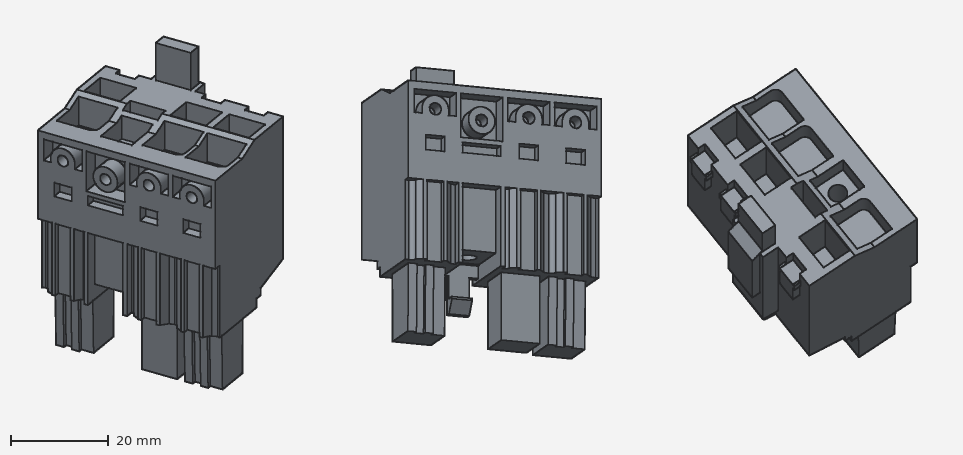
import cadquery as cq
import math


WIDTH = 42.1
BACK_Y = 27.3
TOP_Z = 53.8
FRONT_TOP_Z = 51.7
TOP_SLOPE_FRONT_Y = 10.8
TOP_SLOPE_BACK_Y = 15.75
BOTTOM_Z = 14.3
UNDERSIDE_BACK_Z = 20.6
UNDERSIDE_FRONT_Z = 18.05
UNDERSIDE_FRONT_Y = 18.25
STEP_Z = 16.35
STEP_Y = 16.6

PITCH = 10.2
POLE_X = [index * PITCH for index in (0, 2, 3)]

LATCH_X = 11.85
LATCH_WIDTH = 8.3
LATCH_CENTER_X = LATCH_X + LATCH_WIDTH / 2

WIRE_X, WIRE_Y = 1.25, 5.45
WIRE_WIDTH, WIRE_LENGTH = 9.25, 8.9
WIRE_CORNER_RADIUS = 1.7
WIRE_FLOOR_Z = 46.5
TOOL_X, TOOL_Y = 1.6, 15.9
TOOL_WIDTH, TOOL_LENGTH = 8.5, 6.55
TOOL_FLOOR_Z = 41.2
SLOT_Y, SLOT_LENGTH = 14.05, 3.1
SCREW_POCKET_WIDTH = 7.4
SCREW_POCKET_Y, SCREW_POCKET_LENGTH = 4.4, 8.45
SCREW_FLOOR_Z = 47.1
SCREW_HOLE_Y = 8.4
SCREW_HOLE_DIAMETER = 3.9

FRONT_POCKET_WIDTH = 9.1
FRONT_POCKET_DEPTH = 3.75
FRONT_POCKET_TOP_Z = 50.0
POLE_POCKET_X = 1.4
POLE_POCKET_BOTTOM_Z = 45.1
POLE_BOSS_Z = 46.2
CENTER_POCKET_BOTTOM_Z = 40.7
CENTER_BOSS_Z = 44.7
BOSS_RADIUS = 2.9
BOSS_HOLE_DIAMETER = 2.5
WINDOW_X, WINDOW_WIDTH = 3.9, 4.1
WINDOW_BOTTOM_Z, WINDOW_HEIGHT = 37.4, 3.2
CENTER_WINDOW_BOTTOM_Z, CENTER_WINDOW_HEIGHT = 37.55, 2.2
WINDOW_DEPTH = 2.25

GROOVE_TOP_Z = 31.1
GROOVE_X = 0.8
GROOVE_DEPTH = 1.95
GROOVE_ARC_RADIUS = 1.1
GROOVE_LIP = 0.2
EDGE_DEPTH = 1.6
LEADING_WIDTH = 2.5
FLAT_GROOVE_X, FLAT_GROOVE_WIDTH = 3.3, 3.6
FLAT_GROOVE_DEPTH = 1.3
TRAILING_X = 7.75
TRAILING_BEND_X = 9.0
TRAILING_BEND_DEPTH = 1.55
RECESS_DEPTH = 2.9
RECESS_BOTTOM_Z = 17.8

GUIDE_WIDTH = 10.4
GUIDE_BACK_Y = 31.1
GUIDE_BOTTOM_BACK_Z = 24.25
GUIDE_BOTTOM_FRONT_Z = 23.6
LUG_X, LUG_WIDTH = 2.9, 5.55
LUG_BACK_Y = 29.0
LUG_BOTTOM_Z, LUG_STEP_Z, LUG_TOP_Z = 43.65, 48.95, 50.85
NOTCH_WIDTH = 4.55
NOTCH_FLOOR_Z = 50.65
NOTCH_INSET = (LUG_WIDTH - NOTCH_WIDTH) / 2
NOTCH_FRONT_Y = 25.6

PRONG_X, PRONG_WIDTH = 1.6, 8.4
PRONG_FRONT_Y, PRONG_FRONT_TIP_Y = 4.2, 4.55
PRONG_BACK_Y, PRONG_BACK_TIP_Y = 13.75, 13.55
PLAIN_PRONG_BACK_Y = 12.35
PRONG_KEY_WIDTH = 1.9
PRONG_RIB_END = 5.5
PRONG_GROOVE_DEPTH = 0.95
PLAIN_PRONG = 1

LATCH_TOP_Z = 62.45
HANDLE_BACK_Y = 30.5
PAD_BACK_Y = 33.05
PAD_BOTTOM_Z = 35.1
PAD_TOP_Z = 52.45
PAD_SLOPE_TOP_Z = 54.35
STRAP_BACK_Y = 30.05
FOOT_BACK_Z = 20.8
FOOT_BOTTOM_Z = 17.6
FOOT_THICKNESS = 1.9
FOOT_FRONT_Y = 12.6
PLATE_FRONT_Y = 13.25
PLATE_BACK_Y = 14.5
PLATE_BOTTOM_Z = 15.0
ARM_WIDTH = 4.45
ARM_BOTTOM_Z = 6.95
HOOK_TOP_Z = 10.2
HOOK_BEVEL_Z = 9.75
HOOK_REACH = 1.75


def box(x, y, z, width, length, height):
    """Box given by its lowest corner and its sizes along X, Y and Z."""
    return cq.Workplane("XY").box(width, length, height, centered=False).translate((x, y, z))


def side_profile(points, x, width):
    """Solid with an outline of (Y, Z) points, running along X from x."""
    return cq.Workplane("YZ").polyline(points).close().extrude(width).translate((x, 0, 0))


def front_cylinder(x, z, radius, depth):
    """Cylinder that runs from the front face into the housing."""
    return cq.Workplane("XZ").center(x, z).circle(radius).extrude(-depth)


def down_to(floor_z, x, y, width, length):
    """Pocket cutter, open above the housing."""
    return box(x, y, floor_z, width, length, TOP_Z - floor_z)


def housing_block():
    profile = [
        (0, BOTTOM_Z), (0, FRONT_TOP_Z),
        (TOP_SLOPE_FRONT_Y, FRONT_TOP_Z), (TOP_SLOPE_BACK_Y, TOP_Z),
        (BACK_Y, TOP_Z), (BACK_Y, UNDERSIDE_BACK_Z),
        (UNDERSIDE_FRONT_Y, UNDERSIDE_FRONT_Z), (UNDERSIDE_FRONT_Y, STEP_Z),
        (STEP_Y, STEP_Z), (STEP_Y, BOTTOM_Z),
    ]
    return side_profile(profile, 0, WIDTH)


def latch_guide():
    profile = [
        (BACK_Y, TOP_Z), (GUIDE_BACK_Y, TOP_Z),
        (GUIDE_BACK_Y, GUIDE_BOTTOM_BACK_Z), (BACK_Y, GUIDE_BOTTOM_FRONT_Z),
    ]
    return side_profile(profile, LATCH_CENTER_X - GUIDE_WIDTH / 2, GUIDE_WIDTH)


def back_lug(pole_x):
    """Lug on the back face, with a wide head above a narrower stem."""
    length = LUG_BACK_Y - BACK_Y
    x = pole_x + LUG_X
    head = box(x, BACK_Y, LUG_STEP_Z, LUG_WIDTH, length, LUG_TOP_Z - LUG_STEP_Z)
    stem = box(x + NOTCH_INSET, BACK_Y, LUG_BOTTOM_Z,
               NOTCH_WIDTH, length, LUG_STEP_Z - LUG_BOTTOM_Z)
    return head.union(stem)


def back_notch(pole_x):
    """Notch through the back edge that also sinks the middle of the lug's head."""
    x = pole_x + LUG_X + NOTCH_INSET
    return down_to(NOTCH_FLOOR_Z, x, NOTCH_FRONT_Y, NOTCH_WIDTH, LUG_BACK_Y - NOTCH_FRONT_Y)


def wire_pocket(pole_x):
    pocket = down_to(WIRE_FLOOR_Z, pole_x + WIRE_X, WIRE_Y, WIRE_WIDTH, WIRE_LENGTH)
    return pocket.edges("|Z and >X and <Y").fillet(WIRE_CORNER_RADIUS)


def tool_pocket(pole_x):
    return down_to(TOOL_FLOOR_Z, pole_x + TOOL_X, TOOL_Y, TOOL_WIDTH, TOOL_LENGTH)


def pole_front_pocket(pole_x):
    """Front pocket around an arched boss, with the hole in the boss."""
    x = pole_x + POLE_POCKET_X
    center_x = x + FRONT_POCKET_WIDTH / 2
    pocket = box(x, 0, POLE_POCKET_BOTTOM_Z, FRONT_POCKET_WIDTH, FRONT_POCKET_DEPTH,
                 FRONT_POCKET_TOP_Z - POLE_POCKET_BOTTOM_Z)
    boss = front_cylinder(center_x, POLE_BOSS_Z, BOSS_RADIUS, FRONT_POCKET_DEPTH)
    boss_base = box(center_x - BOSS_RADIUS, 0, POLE_POCKET_BOTTOM_Z, 2 * BOSS_RADIUS,
                    FRONT_POCKET_DEPTH, POLE_BOSS_Z - POLE_POCKET_BOTTOM_Z)
    hole = front_cylinder(center_x, POLE_BOSS_Z, BOSS_HOLE_DIAMETER / 2, FRONT_POCKET_DEPTH)
    return pocket.cut(boss).cut(boss_base).union(hole)


def center_front_pocket():
    """Square front pocket around a round boss, with the hole in the boss."""
    pocket = box(LATCH_CENTER_X - FRONT_POCKET_WIDTH / 2, 0, CENTER_POCKET_BOTTOM_Z,
                 FRONT_POCKET_WIDTH, FRONT_POCKET_DEPTH,
                 FRONT_POCKET_TOP_Z - CENTER_POCKET_BOTTOM_Z)
    boss = front_cylinder(LATCH_CENTER_X, CENTER_BOSS_Z, BOSS_RADIUS, FRONT_POCKET_DEPTH)
    hole = front_cylinder(LATCH_CENTER_X, CENTER_BOSS_Z, BOSS_HOLE_DIAMETER / 2, FRONT_POCKET_DEPTH)
    return pocket.cut(boss).union(hole)


def pole_window(pole_x):
    return box(pole_x + WINDOW_X, 0, WINDOW_BOTTOM_Z, WINDOW_WIDTH, WINDOW_DEPTH, WINDOW_HEIGHT)


def center_openings():
    """Slot, screw pocket, through hole and window on the latch's centre line."""
    slot = down_to(TOOL_FLOOR_Z, LATCH_X, SLOT_Y, LATCH_WIDTH, SLOT_LENGTH)
    screw_pocket = down_to(SCREW_FLOOR_Z, LATCH_CENTER_X - SCREW_POCKET_WIDTH / 2, SCREW_POCKET_Y,
                           SCREW_POCKET_WIDTH, SCREW_POCKET_LENGTH)
    screw_hole = (cq.Workplane("XY").center(LATCH_CENTER_X, SCREW_HOLE_Y)
                  .circle(SCREW_HOLE_DIAMETER / 2).extrude(TOP_Z))
    window = box(LATCH_X, 0, CENTER_WINDOW_BOTTOM_Z,
                 LATCH_WIDTH, WINDOW_DEPTH, CENTER_WINDOW_HEIGHT)
    return slot.union(screw_pocket).union(screw_hole).union(window)


def pole_grooves(pole_x):
    """Rounded leading groove, flat groove and slanted trailing groove of one pole."""
    arc_side_y = GROOVE_DEPTH - GROOVE_ARC_RADIUS
    arc_offset = GROOVE_ARC_RADIUS * math.sqrt(0.5)
    arc_middle = (arc_offset, arc_side_y + arc_offset)
    height = GROOVE_TOP_Z - BOTTOM_Z
    plane = cq.Workplane("XY")
    leading = (plane.moveTo(0, 0).lineTo(0, GROOVE_DEPTH)
               .threePointArc(arc_middle, (GROOVE_ARC_RADIUS, arc_side_y))
               .lineTo(LEADING_WIDTH, GROOVE_LIP).lineTo(LEADING_WIDTH, 0)
               .close().extrude(height))
    flat = box(FLAT_GROOVE_X, 0, 0, FLAT_GROOVE_WIDTH, FLAT_GROOVE_DEPTH, height)
    trailing = (plane.moveTo(TRAILING_X, 0).lineTo(TRAILING_X, GROOVE_LIP)
                .lineTo(TRAILING_BEND_X, TRAILING_BEND_DEPTH).lineTo(PITCH, GROOVE_DEPTH)
                .lineTo(PITCH, 0).close().extrude(height))
    return leading.union(flat).union(trailing).translate((pole_x + GROOVE_X, 0, BOTTOM_Z))


def edge_groove(side_x, inner_x):
    """Shallow groove between a side of the housing and the nearest pole's grooves."""
    outline = [(side_x, 0), (side_x, EDGE_DEPTH), (inner_x, GROOVE_DEPTH), (inner_x, 0)]
    return (cq.Workplane("XY").workplane(offset=BOTTOM_Z).polyline(outline).close()
            .extrude(GROOVE_TOP_Z - BOTTOM_Z))


def latch_recess():
    """Recess in the lower front face, and the open space below it."""
    recess = box(LATCH_X, 0, BOTTOM_Z, LATCH_WIDTH, RECESS_DEPTH, GROOVE_TOP_Z - BOTTOM_Z)
    opening = box(LATCH_X, 0, BOTTOM_Z, LATCH_WIDTH, UNDERSIDE_FRONT_Y, RECESS_BOTTOM_Z - BOTTOM_Z)
    return recess.union(opening)


def make_housing(latch):
    body = housing_block().union(latch_guide())
    for pole_x in POLE_X:
        body = body.union(back_lug(pole_x))
    for pole_x in POLE_X:
        body = body.cut(back_notch(pole_x))
        body = body.cut(wire_pocket(pole_x))
        body = body.cut(tool_pocket(pole_x))
        body = body.cut(pole_front_pocket(pole_x))
        body = body.cut(pole_window(pole_x))
        body = body.cut(pole_grooves(pole_x))
    body = body.cut(edge_groove(0, GROOVE_X))
    body = body.cut(edge_groove(WIDTH, POLE_X[-1] + GROOVE_X + PITCH))
    body = body.cut(center_front_pocket()).cut(center_openings()).cut(latch_recess())
    return body.cut(latch)


def make_latch():
    strap_profile = [
        (BACK_Y, LATCH_TOP_Z), (HANDLE_BACK_Y, LATCH_TOP_Z),
        (HANDLE_BACK_Y, PAD_SLOPE_TOP_Z), (PAD_BACK_Y, PAD_TOP_Z),
        (PAD_BACK_Y, PAD_BOTTOM_Z), (STRAP_BACK_Y, PAD_BOTTOM_Z),
        (STRAP_BACK_Y, FOOT_BACK_Z), (UNDERSIDE_FRONT_Y, FOOT_BOTTOM_Z),
        (PLATE_BACK_Y, FOOT_BOTTOM_Z), (PLATE_BACK_Y, PLATE_BOTTOM_Z),
        (PLATE_FRONT_Y, PLATE_BOTTOM_Z), (PLATE_FRONT_Y, FOOT_BOTTOM_Z),
        (FOOT_FRONT_Y, FOOT_BOTTOM_Z), (FOOT_FRONT_Y, FOOT_BOTTOM_Z + FOOT_THICKNESS),
        (UNDERSIDE_FRONT_Y, FOOT_BOTTOM_Z + FOOT_THICKNESS),
        (BACK_Y, FOOT_BACK_Z + FOOT_THICKNESS),
    ]
    arm_profile = [
        (PLATE_BACK_Y, PLATE_BOTTOM_Z), (PLATE_BACK_Y, ARM_BOTTOM_Z),
        (PLATE_FRONT_Y, ARM_BOTTOM_Z), (PLATE_FRONT_Y - HOOK_REACH, HOOK_BEVEL_Z),
        (PLATE_FRONT_Y - HOOK_REACH, HOOK_TOP_Z), (PLATE_FRONT_Y, HOOK_TOP_Z),
        (PLATE_FRONT_Y, PLATE_BOTTOM_Z),
    ]
    strap = side_profile(strap_profile, LATCH_X, LATCH_WIDTH)
    arm = side_profile(arm_profile, LATCH_CENTER_X - ARM_WIDTH / 2, ARM_WIDTH)
    return strap.union(arm)


def prong_groove(x, width):
    """Groove that follows the tapered front face of a coded prong."""
    profile = [
        (0, 0), (0, BOTTOM_Z),
        (PRONG_FRONT_Y + PRONG_GROOVE_DEPTH, BOTTOM_Z),
        (PRONG_FRONT_TIP_Y + PRONG_GROOVE_DEPTH, 0),
    ]
    return side_profile(profile, x, width)


def coded_prong(x):
    profile = [
        (PRONG_FRONT_Y, BOTTOM_Z), (PRONG_BACK_Y, BOTTOM_Z),
        (PRONG_BACK_TIP_Y, 0), (PRONG_FRONT_TIP_Y, 0),
    ]
    body = side_profile(profile, x, PRONG_WIDTH)
    body = body.cut(prong_groove(x + PRONG_KEY_WIDTH, PRONG_KEY_WIDTH))
    return body.cut(prong_groove(x + PRONG_RIB_END, PRONG_WIDTH - PRONG_RIB_END))


def plain_prong(x):
    return box(x, PRONG_FRONT_TIP_Y, 0, PRONG_WIDTH, PLAIN_PRONG_BACK_Y - PRONG_FRONT_TIP_Y, BOTTOM_Z)


def make_prong(number):
    x = POLE_X[number] + PRONG_X
    if number == PLAIN_PRONG:
        return plain_prong(x)
    return coded_prong(x)


latch = make_latch()
housing = make_housing(latch)
prongs = [make_prong(number) for number in range(len(POLE_X))]

result = cq.Compound.makeCompound([housing.val(), latch.val(), *[prong.val() for prong in prongs]])